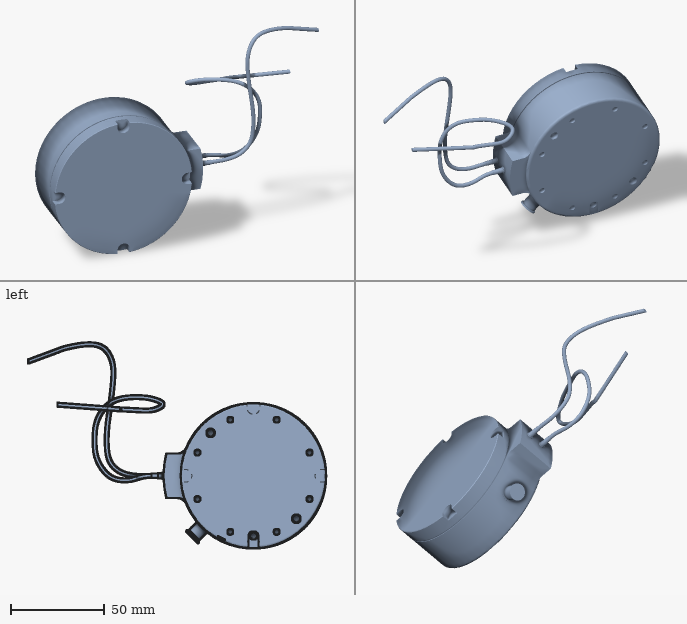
import cadquery as cq
import math

housing_radius = 39.0
housing_length = 33.5
face_fillet = 1.5
rear_chamfer = 0.3

part_overlap = 4.0
cut_clearance = 1.0

groove_start = 24.6
groove_width = 0.8
groove_depth = 0.5

rear_slot_count = 4
rear_slot_width = 6.8
rear_slot_depth = 4.2
rear_slot_radial = 6.0

bolt_circle_radius = 32.5
screw_hole_diameter = 3.2
screw_hole_count = 8
dowel_hole_diameter = 4.0
dowel_countersink = 0.3
dowel_angles = (45.0, 225.0)
hole_depth = 8.0
drill_point_angle = 118.0

keyway_width = 5.2
keyway_depth = 0.5
keyway_center_radius = 32.3
keyway_hole_diameter = 3.9

outlet_radius = 48.2
outlet_height = 24.0
outlet_start = face_fillet
outlet_end = groove_start
outlet_blend_radius = 5.0

connector_angle = -45.0
connector_root_radius = housing_radius - part_overlap
connector_steps = ((9.6, 38.9), (7.8, 45.0), (7.4, 45.7), (9.2, 46.6))
connector_x = (outlet_start + outlet_end) / 2

cable_diameter = 2.2
front_cable_x = 10.3
rear_cable_x = 18.9
sleeve_steps = ((3.6, 48.8), (2.9, 51.2), (2.6, 54.6))
sleeve_root_y = outlet_radius - part_overlap
sleeve_end_y = sleeve_steps[-1][1]
cable_overrun = 2.5
cable_trim_size = 10.0

rear_cable_points = [
    (18.5, 64.0, 0.1),
    (18.3, 71.5, 2.2),
    (18.2, 76.8, 7.5),
    (18.6, 78.5, 15.0),
    (19.2, 78.5, 23.5),
    (19.8, 76.8, 37.3),
    (19.7, 75.2, 51.2),
    (19.0, 75.7, 61.0),
    (16.7, 80.0, 68.2),
    (13.6, 88.5, 70.45),
    (9.8, 101.0, 68.4),
    (6.8, 110.9, 64.8),
    (3.7, 120.65, 61.2),
]
front_cable_points = [
    (9.6, 66.0, -2.2),
    (9.0, 75.7, -1.0),
    (9.2, 81.0, 3.8),
    (9.8, 84.3, 10.7),
    (10.9, 85.1, 19.2),
    (12.2, 84.3, 27.7),
    (12.6, 81.0, 34.7),
    (11.4, 75.7, 39.5),
    (8.5, 68.3, 41.8),
    (5.6, 60.8, 42.1),
    (1.6, 53.4, 41.0),
    (-3.2, 48.7, 38.1),
    (-6.4, 52.3, 35.7),
    (-7.2, 61.9, 35.1),
    (-6.0, 71.5, 35.6),
    (-4.1, 81.0, 36.3),
    (2.1, 105.0, 38.1),
]


def make_housing():
    """Turned drum with a rounded front edge, a chamfered rear edge and a groove."""
    drum = cq.Workplane("YZ").circle(housing_radius).extrude(housing_length)
    drum = drum.faces("<X").edges().fillet(face_fillet)
    drum = drum.faces(">X").edges().chamfer(rear_chamfer)
    groove = (
        cq.Workplane("YZ", origin=(groove_start, 0, 0))
        .circle(housing_radius + cut_clearance)
        .circle(housing_radius - groove_depth)
        .extrude(groove_width)
    )
    return drum.cut(groove)


def make_outlet_block():
    """Block with a curved outer face, blended into the drum by concave arcs."""
    half = outlet_height / 2
    blend_z = half + outlet_blend_radius
    blend_distance = housing_radius + outlet_blend_radius
    blend_y = math.sqrt(blend_distance**2 - blend_z**2)
    touch_scale = housing_radius / blend_distance
    touch_y = blend_y * touch_scale
    touch_z = blend_z * touch_scale
    corner_y = math.sqrt(outlet_radius**2 - half**2)

    toward_axis = math.atan2(-blend_z, -blend_y)
    mid_angle = (toward_axis - math.pi / 2) / 2
    mid_y = blend_y + outlet_blend_radius * math.cos(mid_angle)
    mid_z = blend_z + outlet_blend_radius * math.sin(mid_angle)

    return (
        cq.Workplane("YZ", origin=(outlet_start, 0, 0))
        .moveTo(touch_y, touch_z)
        .threePointArc((mid_y, mid_z), (blend_y, half))
        .lineTo(corner_y, half)
        .threePointArc((outlet_radius, 0), (corner_y, -half))
        .lineTo(blend_y, -half)
        .threePointArc((mid_y, -mid_z), (touch_y, -touch_z))
        .lineTo(0, 0)
        .close()
        .extrude(outlet_end - outlet_start)
    )


def make_stepped_post(plane, root, steps):
    """Coaxial cylinders stacked along the plane normal, each up to its own end distance."""
    post = cq.Workplane(plane)
    for diameter, end in steps:
        step = cq.Workplane(plane).workplane(offset=root).circle(diameter / 2).extrude(end - root)
        post = post.add(step)
        root = end
    return post.combine()


def make_connector():
    """Radial stack of coaxial cylinders."""
    angle = math.radians(connector_angle)
    direction = (0, math.cos(angle), math.sin(angle))
    plane = cq.Plane(origin=(connector_x, 0, 0), xDir=(1, 0, 0), normal=direction)
    return make_stepped_post(plane, connector_root_radius, connector_steps)


def make_sleeve(x):
    """Stepped strain relief pointing along +Y."""
    plane = cq.Plane(origin=(x, 0, 0), xDir=(1, 0, 0), normal=(0, 1, 0))
    return make_stepped_post(plane, sleeve_root_y, sleeve_steps)


def make_cable(x, points):
    """Round cable: a smooth curve, then a straight tail trimmed square to Y."""
    free_end = cq.Vector(*points[-1])
    tail_start = cq.Vector(*points[-2])
    heading = (free_end - tail_start).normalized()
    start = cq.Vector(x, sleeve_end_y, 0)
    waypoints = [start] + [cq.Vector(*point) for point in points[:-1]]
    path = cq.Workplane(cq.Edge.makeSpline(waypoints, tangents=[cq.Vector(0, 1, 0), heading]))
    start_plane = cq.Plane(origin=start.toTuple(), xDir=(1, 0, 0), normal=(0, 1, 0))
    curve = cq.Workplane(start_plane).circle(cable_diameter / 2).sweep(path)

    tail_length = (free_end - tail_start).Length + cable_overrun
    tail_plane = cq.Plane(origin=tail_start.toTuple(), normal=heading.toTuple())
    tail = cq.Workplane(tail_plane).circle(cable_diameter / 2).extrude(tail_length)
    trim = cq.Workplane("XY").box(cable_trim_size, cable_trim_size, cable_trim_size)
    tail = tail.cut(trim.translate((free_end.x, free_end.y + cable_trim_size / 2, free_end.z)))
    return curve.union(tail)


def make_rear_slots():
    """Slots cut inward from the rim, each ending in a half round."""
    center_radius = housing_radius - rear_slot_radial + rear_slot_width / 2
    start_x = housing_length - rear_slot_depth
    slot = (
        cq.Workplane("YZ", origin=(start_x, 0, 0))
        .center(center_radius, 0)
        .circle(rear_slot_width / 2)
        .extrude(rear_slot_depth)
    )
    mouth = (
        cq.Workplane("YZ", origin=(start_x, 0, 0))
        .center(center_radius + rear_slot_radial / 2, 0)
        .rect(rear_slot_radial, rear_slot_width)
        .extrude(rear_slot_depth)
    )
    slot = slot.union(mouth)
    slots = slot
    for index in range(1, rear_slot_count):
        slots = slots.union(slot.rotate((0, 0, 0), (1, 0, 0), index * 360 / rear_slot_count))
    return slots


def make_blind_hole(y, z, diameter, countersink=0):
    """Blind hole along +X from the mounting face, ending in a drill point."""
    radius = diameter / 2
    point_length = radius / math.tan(math.radians(drill_point_angle / 2))
    profile = cq.Workplane("XY").lineTo(0, radius + countersink)
    if countersink:
        profile = profile.lineTo(countersink, radius)
    profile = profile.lineTo(hole_depth, radius).lineTo(hole_depth + point_length, 0).close()
    return profile.revolve(360, (0, 0, 0), (1, 0, 0)).translate((0, y, z))


def make_face_holes():
    """Screw and dowel holes on one bolt circle."""
    screw_pitch = 360 / screw_hole_count
    screw_angles = [(index + 0.5) * screw_pitch for index in range(screw_hole_count)]
    holes = [(angle, screw_hole_diameter, 0) for angle in screw_angles]
    holes += [(angle, dowel_hole_diameter, dowel_countersink) for angle in dowel_angles]

    pattern = cq.Workplane("XY")
    for angle, diameter, countersink in holes:
        y = bolt_circle_radius * math.cos(math.radians(angle))
        z = bolt_circle_radius * math.sin(math.radians(angle))
        pattern = pattern.add(make_blind_hole(y, z, diameter, countersink))
    return pattern.combine()


def make_keyway():
    """Open slot running down to the rim, with a blind hole at its round end."""
    length = housing_radius - keyway_center_radius + cut_clearance
    keyway = cq.Workplane("YZ").center(0, -keyway_center_radius)
    round_end = keyway.circle(keyway_width / 2).extrude(keyway_depth)
    channel = keyway.center(0, -length / 2).rect(keyway_width, length).extrude(keyway_depth)
    hole = make_blind_hole(0, -keyway_center_radius, keyway_hole_diameter)
    return channel.union(round_end).union(hole)


result = make_housing().union(make_outlet_block()).union(make_connector())
result = result.cut(make_rear_slots()).cut(make_face_holes()).cut(make_keyway())
for cable_x, cable_points in ((front_cable_x, front_cable_points), (rear_cable_x, rear_cable_points)):
    result = result.union(make_sleeve(cable_x)).union(make_cable(cable_x, cable_points))